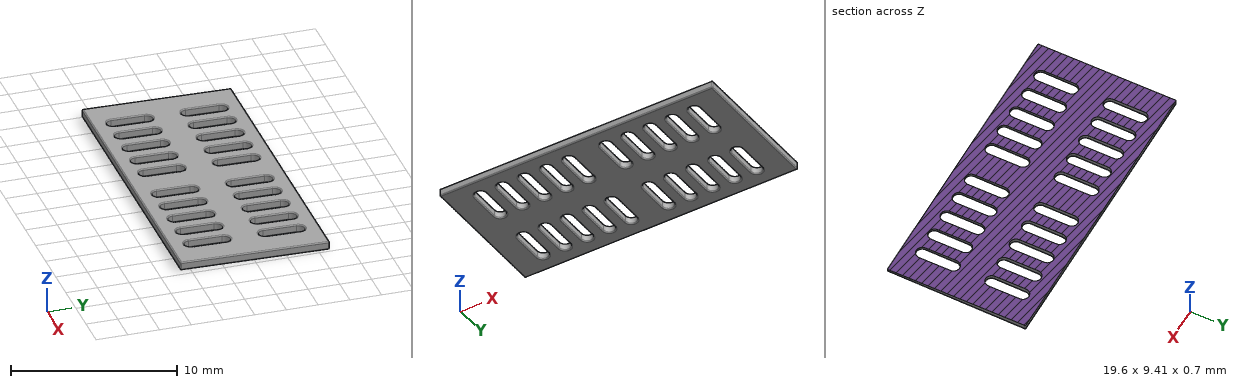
import cadquery as cq

plate_length = 19.58
plate_width = 9.4
plate_thickness = 0.53
tilt_angle = 1.05
edge_round = 0.069

slot_width = 0.8
slot_length = 2.92
slot_pitch = 1.59
slots_per_group = 5
inner_slot_x = 1.33
row_offset = 2.35


def slot_centres():
    """Centres of all slots, mirrored about both centrelines."""
    centres = []
    for index in range(slots_per_group):
        x = inner_slot_x + index * slot_pitch
        for side in (-1, 1):
            for row in (-1, 1):
                centres.append((side * x, row * row_offset))
    return centres


def make_plate():
    """Flat plate centred on the origin with all outer edges rounded."""
    plate = cq.Workplane("XY").box(plate_length, plate_width, plate_thickness)
    return plate.edges().fillet(edge_round)


def make_slots():
    """Cutters for the round-ended slots, running along Y and through the plate."""
    return (
        cq.Workplane("XY")
        .pushPoints(slot_centres())
        .slot2D(slot_length, slot_width, 90)
        .extrude(plate_thickness, both=True)
    )


def round_slot_rims(plate):
    """Round the slot openings on the top and bottom faces."""
    rim_edges = []
    for face in plate.faces("|Z").vals():
        for rim in face.innerWires():
            rim_edges.extend(rim.Edges())
    return plate.newObject(rim_edges).fillet(edge_round)


flat_grille = round_slot_rims(make_plate().cut(make_slots()))
result = flat_grille.rotate((0, 0, 0), (1, 0, 0), -tilt_angle)